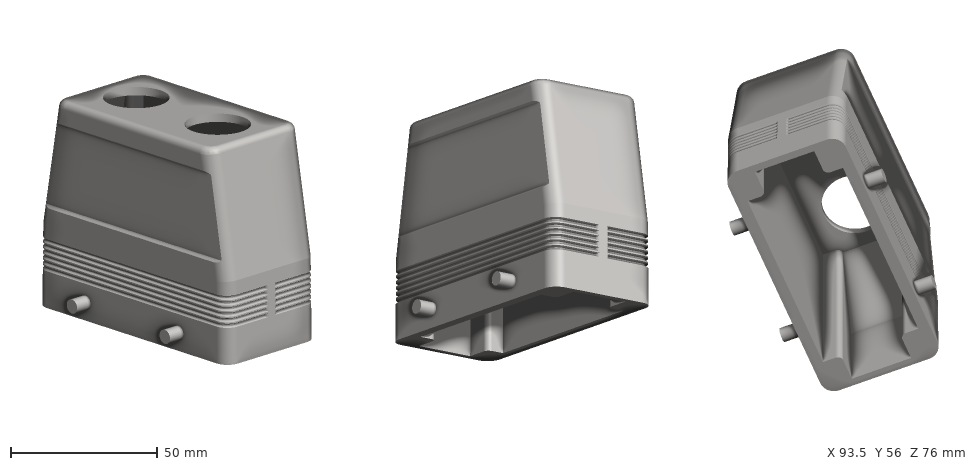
import cadquery as cq
import math

BASE_LENGTH = 93.5
SHOULDER_LENGTH = 92.6
DEPTH = 43.2
HEIGHT = 76.0
SHOULDER_Z = 29.9
END_WALL_ANGLE = 10.0
CORNER_RADIUS = 5.05
TOP_EDGE_RADIUS = 2.5

ROOF = 3.0
SIDE_WALL = 4.0
END_WALL = 2.6
CORNER_BLOCK_X = 34.3
CORNER_BLOCK_Y = 10.9
CORNER_BLOCK_RADIUS = 2.0

CABLE_HOLE_DIAMETER = 22.8
CABLE_HOLE_SPACING = 39.9

PANEL_DEPTH = 1.0
PANEL_BOTTOM_Z = 36.1
PANEL_TOP_Z = 67.9

GROOVE_COUNT = 6
GRIP_BOTTOM_Z = 13.3
GRIP_HEIGHT = 11.5
GROOVE_DEPTH = 0.9
GROOVE_MOUTH = 1.5
GROOVE_ROOT = 0.5
GROOVE_PITCH = (GRIP_HEIGHT - GROOVE_MOUTH) / (GROOVE_COUNT - 1)
GRIP_GAP_OUTER = 3.5
GRIP_GAP_ROOT = 5.7

PIN_DIAMETER = 5.05
PIN_SPACING = 45.4
PIN_Z = 6.5
PIN_TIP_SPAN = 56.0

CLEARANCE = 4.7


def end_half_length(z):
    """Half the outer length at height z: a slight lean to the shoulder, then a steep one."""
    if z <= SHOULDER_Z:
        return (BASE_LENGTH + (SHOULDER_LENGTH - BASE_LENGTH) * z / SHOULDER_Z) / 2
    return SHOULDER_LENGTH / 2 - (z - SHOULDER_Z) * math.tan(math.radians(END_WALL_ANGLE))


def sloped_block(depth, top_z, inset):
    """Square-cornered block between the end walls, each moved in by inset along X."""
    right_side = [(end_half_length(z) - inset, z) for z in (0, SHOULDER_Z, top_z)]
    left_side = [(-x, z) for x, z in reversed(right_side)]
    profile = cq.Workplane("XZ").polyline(right_side + left_side).close()
    return profile.extrude(depth / 2, both=True)


def outer_body():
    body = sloped_block(DEPTH, HEIGHT, 0)
    body = body.edges("not #Z").fillet(CORNER_RADIUS)
    return body.faces(">Z").edges().fillet(TOP_EDGE_RADIUS)


def corner_blocks():
    """Four full-height blocks, each with one rounded upright edge facing the cavity centre."""
    length = BASE_LENGTH / 2 - CORNER_BLOCK_X
    width = DEPTH / 2 - CORNER_BLOCK_Y
    block = (
        cq.Workplane("XY")
        .box(length, width, HEIGHT, centered=False)
        .edges("|Z and <X and <Y")
        .fillet(CORNER_BLOCK_RADIUS)
        .translate((CORNER_BLOCK_X, CORNER_BLOCK_Y, 0))
    )
    pair = block.union(block.mirror("YZ"))
    return pair.union(pair.mirror("XZ"))


def cavity():
    space = sloped_block(DEPTH - 2 * SIDE_WALL, HEIGHT - ROOF, END_WALL)
    return space.cut(corner_blocks())


def cable_holes():
    return (
        cq.Workplane("XY")
        .workplane(offset=HEIGHT - 2 * ROOF)
        .pushPoints([(-CABLE_HOLE_SPACING / 2, 0), (CABLE_HOLE_SPACING / 2, 0)])
        .circle(CABLE_HOLE_DIAMETER / 2)
        .extrude(2 * ROOF + CLEARANCE)
    )


def panel_recesses():
    """Bars with 45 degree upper and lower flanks that run the full length of both long sides."""
    surface_y = DEPTH / 2
    floor_y = surface_y - PANEL_DEPTH
    bar = (
        cq.Workplane("YZ")
        .polyline([
            (surface_y, PANEL_BOTTOM_Z),
            (floor_y, PANEL_BOTTOM_Z + PANEL_DEPTH),
            (floor_y, PANEL_TOP_Z - PANEL_DEPTH),
            (surface_y, PANEL_TOP_Z),
        ])
        .close()
        .extrude(BASE_LENGTH / 2, both=True)
    )
    return bar.union(bar.mirror("XZ"))


def groove_core(half_length):
    """Waisted plug left inside one groove; its waist is the groove root."""
    flank_height = (GROOVE_MOUTH - GROOVE_ROOT) / 2
    flank_angle = math.degrees(math.atan2(GROOVE_DEPTH, flank_height))
    outline = (
        cq.Sketch()
        .rect(2 * half_length, DEPTH)
        .vertices()
        .fillet(CORNER_RADIUS)
    )
    root_outline = (
        cq.Sketch()
        .rect(2 * (half_length - GROOVE_DEPTH), DEPTH - 2 * GROOVE_DEPTH)
        .vertices()
        .fillet(CORNER_RADIUS - GROOVE_DEPTH)
    )
    lower_flank = cq.Workplane("XY").placeSketch(outline).extrude(flank_height, taper=flank_angle)
    upper_flank = lower_flank.mirror("XY").translate((0, 0, GROOVE_MOUTH))
    root = cq.Workplane("XY").placeSketch(root_outline).extrude(GROOVE_ROOT)
    return lower_flank.union(root.translate((0, 0, flank_height))).union(upper_flank)


def grip_gap(half_length):
    """Plan-view bar along X that keeps a ramped, ungrooved strip on each end wall."""
    root_x = half_length - GROOVE_DEPTH
    ramp_slope = (GRIP_GAP_ROOT - GRIP_GAP_OUTER) / 2 / GROOVE_DEPTH
    tip_x = half_length + GROOVE_DEPTH / 2
    tip_y = GRIP_GAP_OUTER / 2 - ramp_slope * (tip_x - half_length)
    strip = (
        cq.Workplane("XY")
        .polyline([
            (0, -GRIP_GAP_ROOT / 2),
            (root_x, -GRIP_GAP_ROOT / 2),
            (tip_x, -tip_y),
            (tip_x, tip_y),
            (root_x, GRIP_GAP_ROOT / 2),
            (0, GRIP_GAP_ROOT / 2),
        ])
        .close()
        .extrude(GROOVE_MOUTH)
    )
    return strip.union(strip.mirror("YZ"))


def grip_groove(bottom_z):
    half_length = end_half_length(bottom_z + GROOVE_MOUTH / 2)
    ring = cq.Workplane("XY").box(
        BASE_LENGTH + CLEARANCE, DEPTH + CLEARANCE, GROOVE_MOUTH, centered=(True, True, False)
    )
    ring = ring.cut(groove_core(half_length)).cut(grip_gap(half_length))
    return ring.translate((0, 0, bottom_z))


def locking_pins():
    """Two pins on each long side, rooted at the inner wall face."""
    inner_y = DEPTH / 2 - SIDE_WALL
    pins = (
        cq.Workplane("XZ", origin=(0, -inner_y, 0))
        .pushPoints([(-PIN_SPACING / 2, PIN_Z), (PIN_SPACING / 2, PIN_Z)])
        .circle(PIN_DIAMETER / 2)
        .extrude(PIN_TIP_SPAN / 2 - inner_y)
    )
    return pins.union(pins.mirror("XZ"))


hood = outer_body().cut(cavity()).cut(cable_holes()).cut(panel_recesses())
for groove_index in range(GROOVE_COUNT):
    hood = hood.cut(grip_groove(GRIP_BOTTOM_Z + groove_index * GROOVE_PITCH))
result = hood.union(locking_pins())